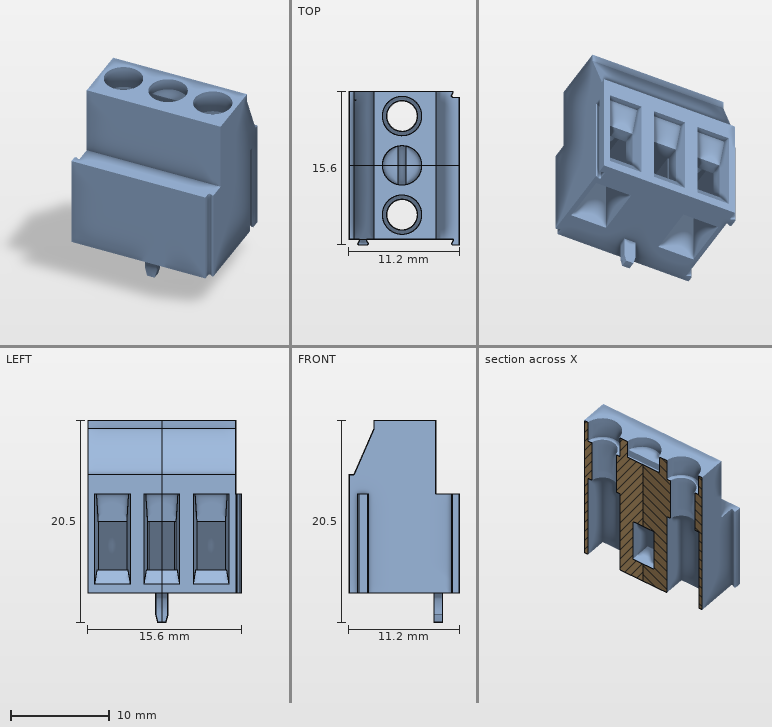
import cadquery as cq


housing_depth = 11.2
housing_width = 15.0
housing_height = 17.53
half_width = housing_width / 2
entry_face_height = 12.01
entry_ledge = 0.5
slope_top_x = 2.52
slope_top_z = 16.67
tower_back_x = 8.82
shelf_height = 10.07

pole_pitch = 5.0
screw_x = 5.37

screw_hole_diameter = 4.0
through_hole_diameter = 3.1
counterbore_depth = 2.45
screw_head_depth = 1.25
screw_slot_width = 0.8
screw_slot_depth = 0.82

entry_width = 3.6
entry_bottom = 0.95
tunnel_width = 2.9
tunnel_floor = 2.32
tunnel_top = 7.24
floor_chamfer_x = 0.86
ceiling_slope_x = 0.65
funnel_depth = 1.33

chamber_front_x = 2.66
chamber_back_x = 2 * screw_x - chamber_front_x
chamber_width = screw_hole_diameter

clamp_front_x = 2.85
clamp_mouth_width = 2.6

pin_length = 2.97
pin_front_x = 8.6
pin_thickness = 0.88
pin_width = 1.25
pin_tip_width = 0.85
pin_tip_length = 0.8

rib_height = shelf_height
rib_reach = 0.6
rib_neck_length = 0.12
rib_flare_end = 0.45
rib_flare = 0.18
rib_tip_chamfer = 0.12
front_rib_x = 1.41
front_rib_neck = 0.74
back_rib_neck = 0.64


def box(x_start, x_end, y_center, width, z_start, z_end):
    """Block given by its X and Z limits and a width centred on y_center."""
    size = (x_end - x_start, width, z_end - z_start)
    corner = (x_start, y_center - width / 2, z_start)
    return cq.Workplane("XY").box(*size, centered=False).translate(corner)


def cylinder(y_center, diameter, z_start, z_end):
    """Upright cylinder on the screw axis of a pole."""
    base = cq.Workplane("XY", origin=(screw_x, y_center, z_start))
    return base.circle(diameter / 2).extrude(z_end - z_start)


def half_housing():
    """Stepped side profile, extruded from the seam to the +Y side."""
    profile = [
        (0, 0),
        (housing_depth, 0),
        (housing_depth, shelf_height),
        (tower_back_x, shelf_height),
        (tower_back_x, housing_height),
        (slope_top_x, housing_height),
        (slope_top_x, slope_top_z),
        (entry_ledge, entry_face_height),
        (0, entry_face_height),
    ]
    return cq.Workplane("XZ").polyline(profile).close().extrude(-half_width)


def wire_entry(y_center, end_x):
    """Funnel that narrows in plan and in height into a straight tunnel ending at end_x."""
    side_profile = [
        (0, entry_bottom),
        (floor_chamfer_x, tunnel_floor),
        (end_x, tunnel_floor),
        (end_x, tunnel_top),
        (funnel_depth, tunnel_top),
        (ceiling_slope_x, shelf_height),
        (0, shelf_height),
    ]
    plan = [
        (0, -entry_width / 2),
        (funnel_depth, -tunnel_width / 2),
        (end_x, -tunnel_width / 2),
        (end_x, tunnel_width / 2),
        (funnel_depth, tunnel_width / 2),
        (0, entry_width / 2),
    ]
    side_prism = cq.Workplane("XZ").polyline(side_profile).close().extrude(entry_width / 2, both=True)
    plan_prism = cq.Workplane("XY").polyline(plan).close().extrude(shelf_height)
    return side_prism.intersect(plan_prism).translate((0, y_center, 0))


def empty_pole():
    """Counterbored screw hole, clamp chamber and wire entry of a pole without contact."""
    counterbore = cylinder(pole_pitch, screw_hole_diameter, housing_height - counterbore_depth, housing_height)
    through_hole = cylinder(pole_pitch, through_hole_diameter, 0, housing_height)
    chamber = box(chamber_front_x, chamber_back_x, pole_pitch, chamber_width, 0, shelf_height)
    return counterbore.union(through_hole).union(chamber).union(wire_entry(pole_pitch, chamber_front_x))


def contact_pole():
    """Slotted screw head recess, wire entry and clamp mouth of the middle pole."""
    head_z = housing_height - screw_head_depth
    slot_floor_z = head_z - screw_slot_depth
    slot_block = box(
        screw_x - screw_slot_width / 2, screw_x + screw_slot_width / 2,
        0, screw_hole_diameter, slot_floor_z, head_z,
    )
    recess = cylinder(0, screw_hole_diameter, head_z, housing_height)
    slot = cylinder(0, screw_hole_diameter, slot_floor_z, head_z).intersect(slot_block)
    mouth = box(clamp_front_x, chamber_back_x, 0, clamp_mouth_width, tunnel_floor, tunnel_top)
    entry = wire_entry(0, clamp_front_x)
    return recess.union(slot).union(entry.union(mouth))


def half_pin():
    """Half of the solder pin, tapered at its tip, on the +Y side of the seam."""
    outline = [
        (0, 0),
        (pin_width / 2, 0),
        (pin_width / 2, pin_tip_length - pin_length),
        (pin_tip_width / 2, -pin_length),
        (0, -pin_length),
    ]
    pin_plane = cq.Workplane("YZ", origin=(pin_front_x, 0, 0))
    return pin_plane.polyline(outline).close().extrude(pin_thickness)


def dovetail_edge(neck_x, side):
    """One flank of a dovetail rib, from root to tip, flaring towards side (-1 or 1) in X."""
    flare_x = neck_x + side * rib_flare
    return [
        (neck_x, 0),
        (neck_x, -rib_neck_length),
        (flare_x, -rib_flare_end),
        (flare_x - side * rib_tip_chamfer, -rib_reach),
    ]


def dovetails():
    """Front rib with two flared flanks and back rib flush with the housing back, rooted at Y = 0."""
    front_left = dovetail_edge(front_rib_x - front_rib_neck / 2, -1)
    front_right = dovetail_edge(front_rib_x + front_rib_neck / 2, 1)
    back_left = dovetail_edge(housing_depth - back_rib_neck, -1)
    back_right = [(housing_depth, 0), (housing_depth, -rib_reach)]
    front_rib = cq.Workplane("XY").polyline(front_left + front_right[::-1]).close().extrude(rib_height)
    back_rib = cq.Workplane("XY").polyline(back_left + back_right[::-1]).close().extrude(rib_height)
    return front_rib, back_rib


def plain_half():
    """Half block on the +Y side of the seam, before ribs or grooves."""
    return half_housing().cut(empty_pole()).cut(contact_pole()).union(half_pin())


def grooved_half():
    """+Y half with the dovetail grooves that receive a neighbouring block."""
    half = plain_half()
    for rib in dovetails():
        half = half.cut(rib.translate((0, half_width, 0)))
    return half


def ribbed_half():
    """-Y half with the dovetail ribs."""
    half = plain_half().mirror("XZ")
    for rib in dovetails():
        half = half.union(rib.translate((0, -half_width, 0)))
    return half


back_half = grooved_half()
front_half = ribbed_half()

result = cq.Compound.makeCompound([*back_half.solids().vals(), *front_half.solids().vals()])